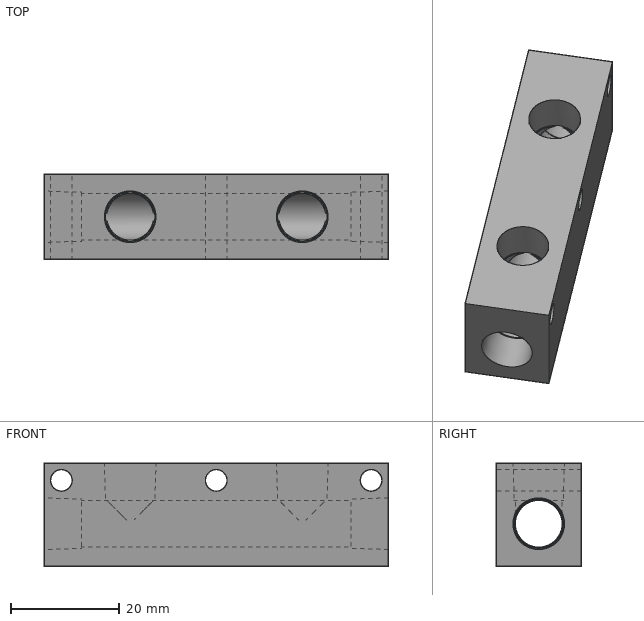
import cadquery as cq

length = 63.5
width = 15.75
height = 19.05

bore_diameter = 8.65
bore_height = width / 2

mouth_diameter = 9.5
taper_depth = 6.9
taper_rate = 1 / 16
seat_diameter = mouth_diameter - taper_depth * taper_rate
port_offset = length / 4

mount_diameter = 3.95
mount_inset = 3.2


def straight_hole(start, direction, depth, diameter):
    """Cylinder that removes a straight hole from a start point along a direction."""
    return cq.Solid.makeCylinder(diameter / 2, depth, cq.Vector(*start), cq.Vector(*direction))


def tapered_mouth(start, direction):
    """Cone that removes a tapered mouth from a face inward along a direction."""
    return cq.Solid.makeCone(
        mouth_diameter / 2,
        seat_diameter / 2,
        taper_depth,
        cq.Vector(*start),
        cq.Vector(*direction),
    )


result = cq.Workplane("XY").box(length, width, height, centered=(True, True, False))

left_end = (-length / 2, 0, bore_height)
right_end = (length / 2, 0, bore_height)
result = result.cut(straight_hole(left_end, (1, 0, 0), length, bore_diameter))
result = result.cut(tapered_mouth(left_end, (1, 0, 0)))
result = result.cut(tapered_mouth(right_end, (-1, 0, 0)))

port_depth = height - bore_height
for port_x in (-port_offset, port_offset):
    port_top = (port_x, 0, height)
    result = result.cut(straight_hole(port_top, (0, 0, -1), port_depth, bore_diameter))
    result = result.cut(tapered_mouth(port_top, (0, 0, -1)))

mount_reach = length / 2 - mount_inset
for mount_x in (-mount_reach, 0, mount_reach):
    mount_front = (mount_x, -width / 2, height - mount_inset)
    result = result.cut(straight_hole(mount_front, (0, 1, 0), width, mount_diameter))